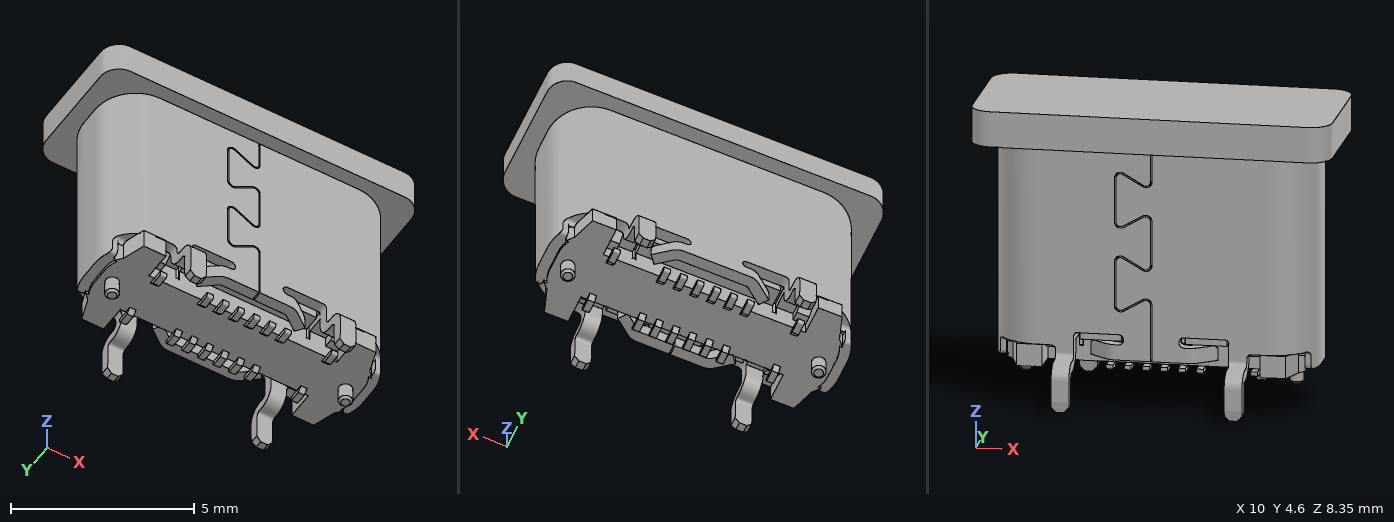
import cadquery as cq
import math

TOP_Z = 7.26
CAP_THICKNESS = 1.0
SHELL_TOP_Z = TOP_Z - CAP_THICKNESS
SHELL_BOTTOM_Z = 0.1

CAP_LENGTH = 10.0
CAP_WIDTH = 4.0
CAP_CORNER_RADIUS = 0.6

SHELL_LENGTH = 8.95
SHELL_WIDTH = 3.16
SHELL_CORNER_RADIUS = 1.3
WALL = 0.32
OUTER_Y = SHELL_WIDTH / 2
INNER_Y = OUTER_Y - WALL

LEG_X = 2.4
LEG_WIDTH = 0.5
LEG_OUTER_Y = 2.3
LEG_TOP_Z = 0.26
LEG_BOTTOM_Z = -1.09
LEG_ROOT_RADIUS = 0.16
LEG_BEND_RADIUS = 0.12
LEG_TIP_LENGTH = 0.3
LEG_TIP_INSET = 0.04
LEG_TIP_CHAMFER = 0.14
LEG_INNER_X = LEG_X - LEG_WIDTH / 2
LEG_OUTER_X = LEG_X + LEG_WIDTH / 2
LEG_ROOT_Z = LEG_TOP_Z + LEG_ROOT_RADIUS

WALL_EDGE_Z = 0.29
SLOT_BOTTOM_Z = 0.72
SLOT_TOP_Z = 1.01
SLOT_END_X = 0.77
SLOT_CORNER_RADIUS = 0.11
TAB_ROOT_X = 0.99
TAB_END_X = 1.76
TAB_BEND_RADIUS = 0.5
TAB_ANGLE = 38.0
TAB_CORNER_CHAMFER = 0.08

NOTCH_TOP_Z = 0.63
NOTCH_INNER_Y = 0.92
NOTCH_RADIUS = 0.14

BASE_Y = 0.74
ROOF_SLOPE_Y = 1.0
LEDGE_Z = LEG_ROOT_Z
POCKET_X = LEG_INNER_X - SLOT_CORNER_RADIUS
POCKET_STEP_Z = 0.74
POCKET_DEPTH = 0.06
FOOT_Y = 1.6
FOOT_INNER_X = 3.02
FOOT_OUTER_X = 3.73
FOOT_BEND_X = 3.96
FOOT_END_X = 4.14
FOOT_END_Y = 0.72

POST_X = 3.75
POST_DIAMETER = 0.4
POST_LENGTH = 0.53
POST_CHAMFER = 0.07

CONTACT_POSITIONS = [0.25, 0.75, 1.25, 2.75]
CONTACT_WIDTH = 0.2
CONTACT_DEPTH = 0.14
CONTACT_INNER_Y = 0.53
CONTACT_OUTER_Y = 1.06
CONTACT_INNER_BEVEL = 0.14
CONTACT_TIP_RADIUS = 0.07

SEAM_WIDTH = 0.04
DOVETAIL_DEPTH = 1.0
DOVETAIL_MEAN_HALF_HEIGHT = 0.59
DOVETAIL_ANGLE = 30.0
DOVETAIL_RADIUS = 0.15
DOVETAIL_CENTRES_Z = [2.45, 4.82]

SIDES = (-1, 1)


def box(x_range, y_range, z_range):
    """Axis-aligned box between the given limits."""
    size = [high - low for low, high in (x_range, y_range, z_range)]
    corner = (x_range[0], y_range[0], z_range[0])
    return cq.Workplane("XY").box(*size, centered=False).translate(corner)


def on_side(shape, x_side, y_side):
    """Copy of a shape drawn at +X, -Y, mirrored to the wanted side."""
    if x_side < 0:
        shape = shape.mirror("YZ")
    if y_side > 0:
        shape = shape.mirror("XZ")
    return shape


def rounded_prism(length, width, radius, bottom_z, top_z):
    """Upright block centred on the Z axis, with rounded vertical edges."""
    prism = box((-length / 2, length / 2), (-width / 2, width / 2), (bottom_z, top_z))
    return prism.edges("|Z").fillet(radius)


def make_cap():
    return rounded_prism(CAP_LENGTH, CAP_WIDTH, CAP_CORNER_RADIUS, SHELL_TOP_Z, TOP_Z)


def make_core(bottom_z):
    """Rounded block that fills the inside of the shell."""
    return rounded_prism(
        SHELL_LENGTH - 2 * WALL, 2 * INNER_Y, SHELL_CORNER_RADIUS - WALL, bottom_z, SHELL_TOP_Z
    )


def make_corner_notch():
    """Cutter that clears one lower shell corner for a foot."""
    x_far = SHELL_LENGTH
    y_far = SHELL_WIDTH
    edge_y = NOTCH_INNER_Y - NOTCH_RADIUS
    front = (
        box((LEG_OUTER_X, x_far), (-y_far, 0), (0, NOTCH_TOP_Z))
        .edges("|Y and <X and >Z")
        .fillet(NOTCH_RADIUS)
    )
    end = (
        box((0, x_far), (-y_far, -NOTCH_INNER_Y), (0, NOTCH_TOP_Z))
        .edges("|X and >Y and >Z")
        .fillet(NOTCH_RADIUS)
    )
    round_z = SHELL_BOTTOM_Z + NOTCH_RADIUS
    flare = box((0, x_far), (-NOTCH_INNER_Y, -edge_y), (0, round_z)).cut(
        cq.Workplane("YZ").center(-edge_y, round_z).circle(NOTCH_RADIUS).extrude(x_far)
    )
    return front.intersect(end.union(flare))


def make_slot():
    """Cutter for the relief slot and the opening that the tab is bent out of."""
    wall_y = (-SHELL_WIDTH, -INNER_Y)
    slot_height = SLOT_TOP_Z - SLOT_BOTTOM_Z
    slot_end_centre = SLOT_END_X + slot_height / 2
    opening = (
        box((TAB_ROOT_X, LEG_INNER_X), wall_y, (0, SLOT_TOP_Z))
        .edges("|Y and >X and >Z")
        .fillet(SLOT_CORNER_RADIUS)
    )
    slot = box((slot_end_centre, POCKET_X), wall_y, (SLOT_BOTTOM_Z, SLOT_TOP_Z))
    slot_end = (
        cq.Workplane("XZ", origin=(slot_end_centre, -INNER_Y, SLOT_BOTTOM_Z + slot_height / 2))
        .circle(slot_height / 2)
        .extrude(SHELL_WIDTH)
    )
    return opening.union(slot).union(slot_end)


def make_tab():
    """Piece of wall bent inwards between the slot and the wall edge."""
    angle = math.radians(TAB_ANGLE)
    bend_centre_y = TAB_BEND_RADIUS - OUTER_Y

    def on_bend(radius, turn):
        return (TAB_ROOT_X + radius * math.sin(turn), bend_centre_y - radius * math.cos(turn))

    inner_radius = TAB_BEND_RADIUS - WALL
    outer_bend_end = on_bend(TAB_BEND_RADIUS, angle)
    straight = (TAB_END_X - outer_bend_end[0]) / math.cos(angle)
    inner_bend_end = on_bend(inner_radius, angle)
    step = (straight * math.cos(angle), straight * math.sin(angle))
    tab = (
        cq.Workplane("XY", origin=(0, 0, WALL_EDGE_Z))
        .moveTo(*on_bend(TAB_BEND_RADIUS, 0))
        .threePointArc(on_bend(TAB_BEND_RADIUS, angle / 2), outer_bend_end)
        .line(*step)
        .lineTo(inner_bend_end[0] + step[0], inner_bend_end[1] + step[1])
        .lineTo(*inner_bend_end)
        .threePointArc(on_bend(inner_radius, angle / 2), on_bend(inner_radius, 0))
        .close()
        .extrude(SLOT_BOTTOM_Z - WALL_EDGE_Z)
    )
    end_face = cq.Vector(math.cos(angle), math.sin(angle), 0)
    tab_end = tab.faces(cq.selectors.DirectionMinMaxSelector(end_face))
    return tab_end.edges(">Z").chamfer(TAB_CORNER_CHAMFER)


def make_leg():
    """Leg that leaves the wall, runs outwards and bends down to a tapered tip."""
    diagonal = math.sqrt(0.5)
    bend_outer = LEG_BEND_RADIUS + WALL
    root_outer = LEG_ROOT_RADIUS + WALL
    root_y = -OUTER_Y - LEG_ROOT_RADIUS
    bend_y = -LEG_OUTER_Y + bend_outer
    bend_z = LEG_TOP_Z - bend_outer
    tip_z = LEG_BOTTOM_Z + LEG_TIP_LENGTH
    inner_leg_y = -LEG_OUTER_Y + WALL

    def root_arc(radius):
        return (root_y + radius * diagonal, LEG_ROOT_Z - radius * diagonal)

    def bend_arc(radius):
        return (bend_y - radius * diagonal, bend_z + radius * diagonal)

    leg = (
        cq.Workplane("YZ", origin=(LEG_INNER_X, 0, 0))
        .moveTo(-OUTER_Y, LEG_ROOT_Z)
        .threePointArc(root_arc(LEG_ROOT_RADIUS), (root_y, LEG_TOP_Z))
        .lineTo(bend_y, LEG_TOP_Z)
        .threePointArc(bend_arc(bend_outer), (-LEG_OUTER_Y, bend_z))
        .lineTo(-LEG_OUTER_Y, tip_z)
        .lineTo(-LEG_OUTER_Y + LEG_TIP_INSET, LEG_BOTTOM_Z)
        .lineTo(inner_leg_y - LEG_TIP_INSET, LEG_BOTTOM_Z)
        .lineTo(inner_leg_y, tip_z)
        .lineTo(inner_leg_y, bend_z)
        .threePointArc(bend_arc(LEG_BEND_RADIUS), (bend_y, bend_z + LEG_BEND_RADIUS))
        .lineTo(root_y, LEG_TOP_Z - WALL)
        .threePointArc(root_arc(root_outer), (-INNER_Y, LEG_ROOT_Z))
        .close()
        .extrude(LEG_WIDTH)
    )
    return leg.faces("<Z").edges("|Y").chamfer(LEG_TIP_CHAMFER)


def make_dovetail_wall():
    """Front wall area on the +X side of the seam, with its dovetail corners rounded."""
    flare = DOVETAIL_DEPTH / 2 * math.tan(math.radians(DOVETAIL_ANGLE))
    neck = DOVETAIL_MEAN_HALF_HEIGHT - flare
    head = DOVETAIL_MEAN_HALF_HEIGHT + flare
    outline = [(0, 0)]
    corners = []
    for centre_z in DOVETAIL_CENTRES_Z:
        corners += [
            (0, centre_z - neck),
            (-DOVETAIL_DEPTH, centre_z - head),
            (-DOVETAIL_DEPTH, centre_z + head),
            (0, centre_z + neck),
        ]
    outline += corners + [(0, SHELL_TOP_Z), (SHELL_LENGTH, SHELL_TOP_Z), (SHELL_LENGTH, 0)]
    wall = cq.Workplane("XZ", origin=(0, -INNER_Y, 0)).polyline(outline).close().extrude(WALL)
    for x, z in corners:
        corner_edge = cq.selectors.NearestToPointSelector((x, -INNER_Y - WALL / 2, z))
        wall = wall.edges(corner_edge).fillet(DOVETAIL_RADIUS)
    return wall


def make_seam():
    """Narrow dovetailed groove through the front wall."""
    half = SEAM_WIDTH / 2
    outline = make_dovetail_wall().faces("<Y").wires().toPending()
    wide = outline.offset2D(half).extrude(-WALL, combine=False)
    outline = make_dovetail_wall().faces("<Y").wires().toPending()
    narrow = outline.offset2D(-half).extrude(-WALL, combine=False)
    zone = box((-DOVETAIL_DEPTH - half, half), (-OUTER_Y, -INNER_Y), (half, SHELL_TOP_Z))
    return wide.cut(narrow).intersect(zone)


def make_shell():
    """Shell tube with the seam, slots, corner notches and raised lower edges cut out."""
    shell = rounded_prism(SHELL_LENGTH, SHELL_WIDTH, SHELL_CORNER_RADIUS, SHELL_BOTTOM_Z, SHELL_TOP_Z)
    shell = shell.cut(make_core(SHELL_BOTTOM_Z)).cut(make_seam())
    wall_y = (-SHELL_WIDTH, -INNER_Y)
    middle_cut = box((0, LEG_INNER_X), wall_y, (0, WALL_EDGE_Z))
    leg_cut = box((LEG_INNER_X, LEG_OUTER_X), wall_y, (0, LEG_ROOT_Z))
    for y_side in SIDES:
        for x_side in SIDES:
            for cutter in (middle_cut, leg_cut, make_corner_notch(), make_slot()):
                shell = shell.cut(on_side(cutter, x_side, y_side))
    return shell


def make_foot():
    """Corner foot with a slanted outer end that turns in behind the end wall."""
    return (
        cq.Workplane("XY")
        .moveTo(FOOT_INNER_X, -FOOT_Y)
        .lineTo(FOOT_OUTER_X, -FOOT_Y)
        .lineTo(FOOT_BEND_X, -NOTCH_INNER_Y)
        .lineTo(FOOT_END_X, -FOOT_END_Y)
        .lineTo(FOOT_INNER_X, -FOOT_END_Y)
        .close()
        .extrude(NOTCH_TOP_Z)
    )


def make_foot_clearance():
    """Cutter that thins the end wall where the foot turns in behind it."""
    return box((FOOT_INNER_X, FOOT_END_X), (-NOTCH_INNER_Y, -FOOT_END_Y), (0, NOTCH_TOP_Z))


def make_base_recess():
    """Cutter that sets the lower base face back, with a sloped roof between leg and foot."""
    middle = box((0, LEG_OUTER_X), (-INNER_Y, -BASE_Y), (0, POCKET_STEP_Z))
    beside_foot = (
        cq.Workplane("YZ", origin=(LEG_OUTER_X, 0, 0))
        .moveTo(-BASE_Y, 0)
        .lineTo(-BASE_Y, LEDGE_Z)
        .lineTo(-ROOF_SLOPE_Y, LEDGE_Z)
        .lineTo(-INNER_Y, NOTCH_TOP_Z)
        .lineTo(-INNER_Y, 0)
        .close()
        .extrude(FOOT_INNER_X - LEG_OUTER_X)
    )
    return middle.union(beside_foot)


def make_pocket():
    """Cutter that sets the base moulding back at both ends of a relief slot."""
    inner_x = SLOT_END_X + SLOT_CORNER_RADIUS
    beside_leg = box(
        (POCKET_X, LEG_INNER_X), (-INNER_Y, -BASE_Y + POCKET_DEPTH), (LEDGE_Z, SLOT_TOP_Z)
    )
    slot_end = box((SLOT_END_X, inner_x), (-INNER_Y, -INNER_Y + POCKET_DEPTH), (SLOT_BOTTOM_Z, SLOT_TOP_Z))
    return beside_leg.union(slot_end)


def make_post():
    post = cq.Workplane("XY").center(POST_X, 0).circle(POST_DIAMETER / 2).extrude(-POST_LENGTH)
    return post.faces("<Z").chamfer(POST_CHAMFER)


def make_contact(x):
    contact = (
        cq.Workplane("YZ", origin=(x - CONTACT_WIDTH / 2, 0, 0))
        .moveTo(-CONTACT_OUTER_Y, 0)
        .lineTo(-CONTACT_OUTER_Y, -CONTACT_DEPTH)
        .lineTo(-CONTACT_INNER_Y - CONTACT_INNER_BEVEL, -CONTACT_DEPTH)
        .lineTo(-CONTACT_INNER_Y, 0)
        .close()
        .extrude(CONTACT_WIDTH)
    )
    return contact.edges("|X and <Y and <Z").fillet(CONTACT_TIP_RADIUS)


def make_connector():
    """Base moulding, shell, legs, contact tails and posts as one solid."""
    connector = make_core(0).union(make_shell())
    for y_side in SIDES:
        for x_side in SIDES:
            for cutter in (make_base_recess(), make_pocket(), make_foot_clearance()):
                connector = connector.cut(on_side(cutter, x_side, y_side))
            for addition in (make_tab(), make_leg(), make_foot()):
                connector = connector.union(on_side(addition, x_side, y_side))
            for x in CONTACT_POSITIONS:
                connector = connector.union(on_side(make_contact(x), x_side, y_side))
    for x_side in SIDES:
        connector = connector.union(on_side(make_post(), x_side, -1))
    return connector


cap = make_cap()
connector = make_connector()

result = cq.Compound.makeCompound([cap.val(), *connector.vals()])